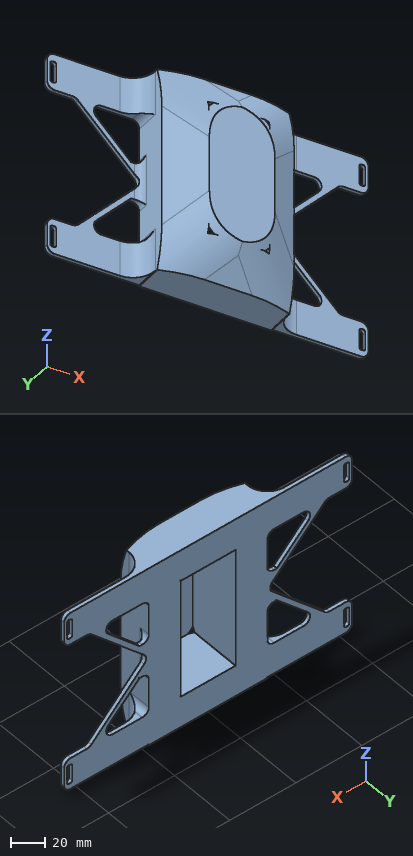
import cadquery as cq
import math

total_width = 218.2
body_width = 90.0
body_height = 140.0
body_depth = 41.7

crown_rise = 16.0
crown_run = 22.7
hip_radius = 50.0

pocket_width = 41.5
pocket_height = 91.6
pocket_depth = 38.6

plate_thickness = 3.0
arm_inner_z = 45.0
lower_arm_inset = 0.7
corner_radius = 5.0
arm_blend_radius = 15.0
strut_blend_radius = corner_radius
strut_width = 4.0
strut_joint_half_height = 12.7

slot_width = 4.0
slot_height = 14.6
slot_corner_radius = 1.5
slot_center_x = 105.0
slot_center_z = 57.4

body_half_width = body_width / 2
body_half_height = body_height / 2
arm_bottom_z = lower_arm_inset - body_half_height


def slab(outline, depth):
    """Extrude an XZ outline from the mounting face toward -Y."""
    return outline.extrude(depth)


def rounded_hip(side_x, side_z):
    """Endless wedge under two neighbouring crown sides, with their shared hip edge rounded."""
    corner = cq.Vector(side_x * body_half_width, crown_rise - body_depth, side_z * body_half_height)
    hip = cq.Vector(-side_x * crown_run, -crown_rise, -side_z * crown_run)
    across = cq.Vector(side_x, 0, -side_z)
    reach = 2 * total_width
    plane = cq.Plane(origin=corner - hip.normalized() * reach, xDir=across, normal=hip)
    outward = 1 if plane.yDir.y < 0 else -1

    side_normal = cq.Vector(side_x * crown_rise, -crown_run, 0).normalized()
    drop_angle = math.acos(abs(side_normal.dot(plane.yDir)))
    tangent_x = hip_radius * math.sin(drop_angle)
    tangent_y = -tangent_x * math.tan(drop_angle)
    crest_y = hip_radius * (1 - 1 / math.cos(drop_angle))
    end_x = total_width
    end_y = -end_x * math.tan(drop_angle)
    return (
        cq.Workplane(plane)
        .moveTo(-end_x, outward * end_y)
        .lineTo(-tangent_x, outward * tangent_y)
        .threePointArc((0, outward * crest_y), (tangent_x, outward * tangent_y))
        .lineTo(end_x, outward * end_y)
        .close()
        .extrude(2 * reach)
    )


def make_body():
    """Block whose front is shaped into the crown with rounded hips."""
    body = slab(cq.Workplane("XZ").rect(body_width, body_height), body_depth)
    for side_x in (-1, 1):
        for side_z in (-1, 1):
            body = body.intersect(rounded_hip(side_x, side_z))
    return body


def make_plate():
    """Thin plate across the mounting face, from which the arms and struts are cut."""
    outline = cq.Workplane("XZ").center(0, (body_half_height + arm_bottom_z) / 2)
    outline = outline.rect(total_width, body_half_height - arm_bottom_z)
    return slab(outline, plate_thickness)


def side_blend(side, radius, bottom_z, top_z):
    """Concave blend between the plate and one flank of the body."""
    flank_x = side * body_half_width
    outer_x = side * (body_half_width + radius)
    blend_y = -plate_thickness - radius
    middle = radius * (1 - math.sqrt(0.5))
    return (
        cq.Workplane("XY", origin=(0, 0, bottom_z))
        .moveTo(flank_x, -plate_thickness)
        .lineTo(outer_x, -plate_thickness)
        .threePointArc((flank_x + side * middle, -plate_thickness - middle), (flank_x, blend_y))
        .close()
        .extrude(top_z - bottom_z)
    )


def make_notch(side):
    """V opening between the two arms of one side, pointing at the body."""
    arm_x = body_half_width + arm_inner_z
    tip_x = total_width / 2
    points = [
        (side * body_half_width, 0),
        (side * arm_x, arm_inner_z),
        (side * tip_x, arm_inner_z),
        (side * tip_x, -arm_inner_z),
        (side * arm_x, -arm_inner_z),
    ]
    notch = slab(cq.Workplane("XZ").polyline(points).close(), body_depth)
    tip_edges = ">X" if side > 0 else "<X"
    return notch.edges("|Y").edges(f"not ({tip_edges})").fillet(corner_radius)


def make_window(side, side_z):
    """Opening enclosed by an arm, a strut and the flank of the body."""
    inner_edge_x = body_half_width - strut_width * math.sqrt(2)
    top_x = inner_edge_x + arm_inner_z
    bottom_x = inner_edge_x + strut_joint_half_height
    points = [
        (side * body_half_width, side_z * arm_inner_z),
        (side * top_x, side_z * arm_inner_z),
        (side * bottom_x, side_z * strut_joint_half_height),
        (side * body_half_width, side_z * strut_joint_half_height),
    ]
    window = slab(cq.Workplane("XZ").polyline(points).close(), body_depth)
    return window.edges("|Y").edges("<X or >X").fillet(corner_radius)


def make_slots():
    """One strap slot near each arm tip."""
    centers = [(x * slot_center_x, z * slot_center_z) for x in (-1, 1) for z in (-1, 1)]
    outline = cq.Workplane("XZ").pushPoints(centers).rect(slot_width, slot_height)
    return slab(outline, plate_thickness).edges("|Y").fillet(slot_corner_radius)


def make_frame():
    """Arms and struts on both sides, blended into the flanks of the body."""
    frame = make_plate()
    joint_z = strut_joint_half_height + corner_radius
    arm_z = arm_inner_z - corner_radius
    for side in (-1, 1):
        frame = frame.union(side_blend(side, arm_blend_radius, arm_z, body_half_height))
        frame = frame.union(side_blend(side, arm_blend_radius, arm_bottom_z, -arm_z))
        frame = frame.union(side_blend(side, strut_blend_radius, -joint_z, joint_z))
        frame = frame.cut(make_notch(side))
        for side_z in (-1, 1):
            frame = frame.cut(make_window(side, side_z))
    frame = frame.edges("|Y").edges("<X or >X").fillet(corner_radius)
    return frame.cut(make_slots())


def make_pocket():
    """Rectangular pocket sunk into the mounting face."""
    return slab(cq.Workplane("XZ").rect(pocket_width, pocket_height), pocket_depth)


result = make_body().union(make_frame()).cut(make_pocket())